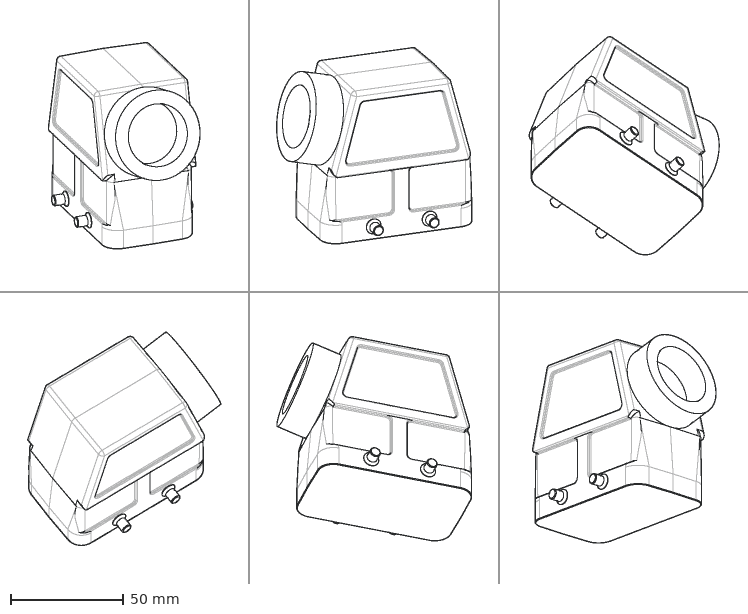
import cadquery as cq
import math

draft = 1.0

base_half_x = 36.35
base_half_y = 21.6
base_height = 9.0
base_corner_radius = 7.5
rim_chamfer = 0.3

skirt_top = 32.0
skirt_top_half_x = 34.4
skirt_top_radius = 3.5

hood_half_y = 22.5
hood_top = 72.0
hood_slope = 15.0
hood_edge_radius = 2.0
hood_lip_radius = 0.6

panel_depth = 1.2
panel_corner_radius = 2.2
panel_round = 0.4
hood_panel_bottom = 37.3
hood_panel_top = 66.8
hood_panel_end_margin = 5.5
skirt_panel_bottom = 10.9
skirt_panel_gap = 7.5

core_half_y = base_half_y - panel_depth
core_bottom_half_x = 35.9
core_bottom_radius = 4.9
core_waist_half_x = 34.2
core_top_half_x = 32.6
core_radius = 3.0

notch_start_x = 30.8
notch_mid_x = 32.6
notch_mid_z = 33.7
notch_end_x = 33.1
notch_top = 36.8

pin_x = 13.4
pin_z = 6.3
pin_diameter = 4.8
pin_tip_y = 27.78
pin_tip_chamfer = 0.38
pin_collar_diameter = 7.0
pin_collar_rim = 0.25

entry_diameter = 40.6
entry_bore = 28.3
entry_length = 18.4
entry_bore_depth = 12.95
entry_face_x = 41.95
entry_face_z = 55.0

overlap = 8.35


def hood_end_x(z):
    """Half length of the sloping hood at height z."""
    return skirt_top_half_x - (z - skirt_top) * math.tan(math.radians(hood_slope))


def half_section(half_x, radius, z):
    """Horizontal outline of the -Y half with drafted ends and two rounded corners."""
    side_x = half_x - base_half_y * math.tan(math.radians(draft))
    points = [(-half_x, 0), (-side_x, -base_half_y), (side_x, -base_half_y), (half_x, 0)]
    wire = cq.Wire.makePolygon([cq.Vector(x, y, z) for x, y in points], close=True)
    corners = [v for v in wire.Vertices() if v.Y < -base_half_y / 2]
    return wire.fillet2D(radius, corners)


def make_lower_half():
    rim_outline = half_section(base_half_x, base_corner_radius, 0)
    rim_face = cq.Face.makeFromWires(rim_outline)
    rim = cq.Workplane(cq.Solid.extrudeLinear(rim_face, cq.Vector(0, 0, base_height)))
    outer_bottom = cq.selectors.BoxSelector(
        (-base_half_x - 0.8, -base_half_y - 0.8, -0.1), (base_half_x + 0.8, -0.1, 0.1)
    )
    rim = rim.edges(outer_bottom).chamfer(rim_chamfer)
    skirt = cq.Solid.makeLoft(
        [
            half_section(base_half_x, base_corner_radius, base_height),
            half_section(skirt_top_half_x, skirt_top_radius, skirt_top),
        ],
        True,
    )
    return rim.union(cq.Workplane(skirt))


def make_hood_half():
    low = skirt_top - overlap
    outline = [
        (-hood_end_x(low), low),
        (-hood_end_x(hood_top), hood_top),
        (hood_end_x(hood_top), hood_top),
        (hood_end_x(low), low),
    ]
    hood = cq.Workplane("XZ").polyline(outline).close().extrude(hood_half_y, taper=draft)
    keep = cq.Workplane("XY", origin=(0, 0, skirt_top)).box(
        4 * base_half_x, 4 * base_half_y, hood_top, centered=(True, True, False)
    )
    hood = hood.intersect(keep)
    rounded = cq.selectors.BoxSelector(
        (-base_half_x, -hood_half_y - 0.8, skirt_top + 0.8), (base_half_x, -0.8, hood_top + 0.8)
    )
    hood = hood.edges(rounded).fillet(hood_edge_radius)
    lip = cq.selectors.BoxSelector(
        (-base_half_x, -hood_half_y - 0.1, skirt_top - 0.1),
        (base_half_x, -hood_half_y + 0.1, skirt_top + 0.1),
    )
    between_sides = cq.Workplane("XY").box(4 * base_half_x, 2 * base_half_y, 4 * hood_top)
    return hood.edges(lip).fillet(hood_lip_radius).union(hood.intersect(between_sides))


def panel_cutter(outline, face_y):
    """Hollow of a recess sunk into a -Y face, taken from a plate that carries the recess."""
    plate_thickness = 2 * panel_depth
    plate = cq.Workplane("XY", origin=(0, plate_thickness / 2 - face_y, 0)).box(
        6 * base_half_x, plate_thickness, 4 * hood_top
    )
    hollow = cq.Workplane("XZ", origin=(0, -face_y, 0)).polyline(outline).close().extrude(-panel_depth)
    hollow = hollow.edges("|Y").fillet(panel_corner_radius).faces(">Y").edges().fillet(panel_round)
    recessed = plate.cut(hollow)
    rim = recessed.faces("<Y").val().innerWires()[0].Edges()
    return plate.cut(recessed.newObject(rim).fillet(panel_round))


def cut_hood_panel(body):
    bottom_x = hood_end_x(hood_panel_bottom) - hood_panel_end_margin
    top_x = hood_end_x(hood_panel_top) - hood_panel_end_margin
    outline = [
        (-bottom_x, hood_panel_bottom),
        (-top_x, hood_panel_top),
        (top_x, hood_panel_top),
        (bottom_x, hood_panel_bottom),
    ]
    return body.cut(panel_cutter(outline, hood_half_y))


def make_core():
    """Upright block that bounds the skirt panels on the inside."""

    def section(half_x, radius, z):
        plane = cq.Workplane("XY", origin=(0, 0, z))
        block = plane.rect(2 * half_x, 2 * core_half_y).extrude(0.8)
        return block.edges("|Z").fillet(radius).faces("<Z").wires().val()

    bottom = section(core_bottom_half_x, core_bottom_radius, skirt_panel_bottom)
    waist = section(core_waist_half_x, core_radius, skirt_top)
    top = section(core_top_half_x, core_radius, notch_top)
    lower = cq.Workplane(cq.Solid.makeLoft([bottom, waist], True))
    upper = cq.Workplane(cq.Solid.makeLoft([waist, top], True))
    end_band = cq.Workplane("XY").box(
        4 * base_half_x, 2 * (core_half_y - core_radius), 2 * hood_top
    )
    return lower.union(upper).union(end_band)


def cut_skirt_panels(body):
    inner_x = skirt_panel_gap / 2
    outer_x = base_half_x + overlap
    outline = [
        (inner_x, skirt_panel_bottom),
        (inner_x, skirt_top),
        (outer_x, skirt_top),
        (outer_x, skirt_panel_bottom),
    ]
    floor_bottom = skirt_panel_bottom + panel_round
    corner_outline = (
        cq.Workplane("XZ", origin=(0, -base_half_y - overlap, 0))
        .moveTo(notch_start_x, floor_bottom)
        .lineTo(notch_start_x, skirt_top)
        .threePointArc((notch_mid_x, notch_mid_z), (notch_end_x, notch_top))
        .lineTo(outer_x, notch_top)
        .lineTo(outer_x, floor_bottom)
        .close()
    )
    corner = corner_outline.extrude(-base_half_y - overlap).cut(make_core())
    panel = panel_cutter(outline, base_half_y)
    below_hood = cq.Workplane("XY", origin=(0, 0, skirt_top)).box(
        6 * base_half_x, 4 * base_half_y, 2 * skirt_top, centered=(True, True, False)
    ).translate((0, 0, -2 * skirt_top))
    panel = panel.intersect(below_hood)
    for cutter in (panel, corner):
        body = body.cut(cutter).cut(cutter.mirror("YZ"))
    return body


def make_pin(x):
    """Turned pin with a chamfered tip and a conical collar, rooted in the -Y face."""
    pin_radius = pin_diameter / 2
    collar_radius = pin_collar_diameter / 2
    collar_y = base_half_y + pin_collar_rim
    profile = [
        (0, base_half_y - 0.8),
        (collar_radius, base_half_y - 0.8),
        (collar_radius, collar_y),
        (pin_radius, collar_y + collar_radius - pin_radius),
        (pin_radius, pin_tip_y - pin_tip_chamfer),
        (pin_radius - pin_tip_chamfer, pin_tip_y),
        (0, pin_tip_y),
    ]
    outline = cq.Workplane("XY").polyline([(r, -y) for r, y in profile]).close()
    return outline.revolve(360, (0, 0, 0), (0, 1, 0)).translate((x, 0, pin_z))


def entry_cylinder(diameter, length):
    """Cylinder running back into the hood from the cable entry face."""
    slope = math.radians(hood_slope)
    plane = cq.Plane(
        origin=(entry_face_x, 0, entry_face_z),
        xDir=(0, 1, 0),
        normal=(math.cos(slope), 0, math.sin(slope)),
    )
    return cq.Workplane(plane).circle(diameter / 2).extrude(-length)


half = make_lower_half().union(make_hood_half())
half = cut_hood_panel(half)
half = cut_skirt_panels(half)
for side in (-1, 1):
    half = half.union(make_pin(side * pin_x))

housing = half.union(half.mirror("XZ"))
housing = housing.union(entry_cylinder(entry_diameter, entry_length))
result = housing.cut(entry_cylinder(entry_bore, entry_bore_depth))